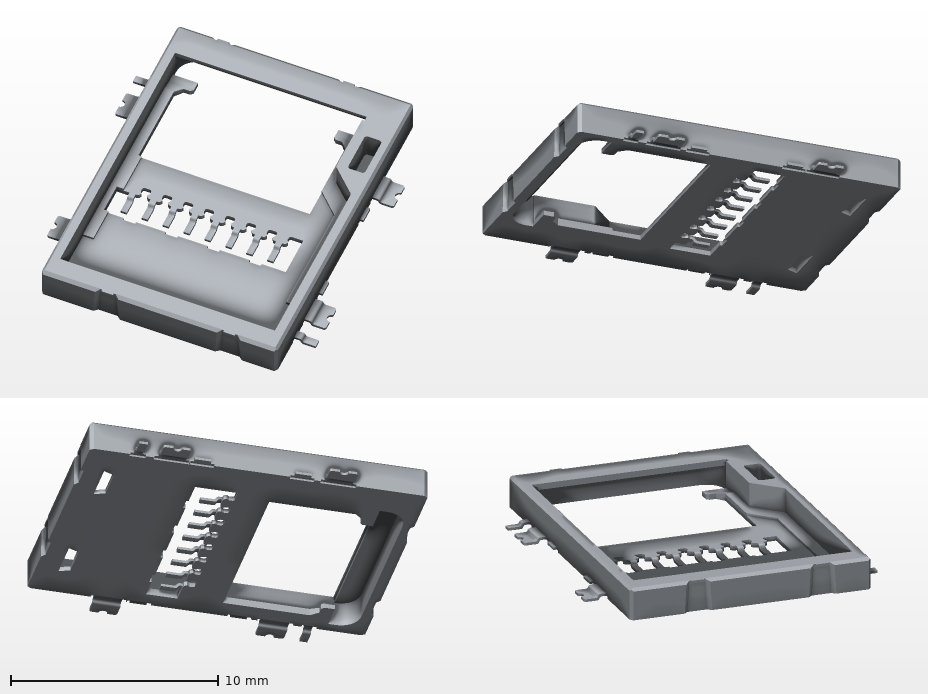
import cadquery as cq
import math


length = 16.8
body_width = 12.4
body_bottom = 0.08
body_top = 1.7
body_height = body_top - body_bottom
half_x = body_width / 2
half_y = length / 2
bevel_x = 0.13
bevel_y = 0.18
bevel_z = 0.13

sheet = 0.13
floor_top = 0.32
sheet_bottom = floor_top - sheet
ledge_top = floor_top + 0.13

cavity_left = -5.65
cavity_right = 5.63
cavity_front = -7.27
cavity_back = 6.45
step_right = 4.28
step_back_y = 3.28
step_front_y = 1.98
step_radius = 0.2

cover_edge = 6.7
cover_lip = 0.07
cover_rib_bottom = body_top - 0.34
undercut_right = 4.42
undercut_back = 7.85
undercut_radius = 1.0

opening_left = -5.14
opening_right = 3.85
opening_front = 1.1

contact_count = 8
first_contact_x = -4.5
last_contact_x = 3.2
contact_pitch = (last_contact_x - first_contact_x) / (contact_count - 1)
contact_width = 0.32
contact_tip_y = -2.2
bend_start_y = -1.26
bend_end_y = -1.58
window_left = -5.33
window_right = 4.22
window_front = -2.69
window_back = -1.13
keyhole_back = -0.57

overall_width = 14.63
terminal_reach = overall_width / 2
foot_inner = 6.74
ramp_top = 6.48
side_tab_reach = 6.38
anchor_x = half_x - 0.42
anchor_notch_depth = 0.17
anchor_notch_margin = 0.18


def box(x0, x1, y0, y1, z0, z1):
    """Axis-aligned block between two corners."""
    return cq.Workplane("XY").box(x1 - x0, y1 - y0, z1 - z0, centered=False).translate((x0, y0, z0))


def prism(points, z0, z1):
    """Upright prism on a closed XY outline."""
    return cq.Workplane("XY").workplane(offset=z0).polyline(points).close().extrude(z1 - z0)


def make_housing():
    """Outer block with bevelled corners and top edges."""
    corners = []
    for sx, sy in ((1, 1), (-1, 1), (-1, -1), (1, -1)):
        pair = [(sx * half_x, sy * (half_y - bevel_y)), (sx * (half_x - bevel_x), sy * half_y)]
        corners += pair if sx * sy > 0 else pair[::-1]
    block = prism(corners, body_bottom, body_top)

    for side in (1, -1):
        long_bevel = (
            cq.Workplane("XZ", origin=(0, half_y, 0))
            .polyline([
                (side * half_x, body_top),
                (side * (half_x - bevel_x), body_top),
                (side * half_x, body_top - bevel_z),
            ])
            .close()
            .extrude(length)
        )
        short_bevel = (
            cq.Workplane("YZ", origin=(-half_x, 0, 0))
            .polyline([
                (side * half_y, body_top),
                (side * (half_y - bevel_y), body_top),
                (side * half_y, body_top - bevel_z),
            ])
            .close()
            .extrude(body_width)
        )
        block = block.cut(long_bevel).cut(short_bevel)
    return block


def cut_cavity(body):
    """Card cavity down to the floor, with the stepped right wall."""
    outline = [
        (cavity_left, cavity_front),
        (cavity_right, cavity_front),
        (cavity_right, step_front_y),
        (step_right, step_back_y),
        (step_right, cavity_back),
        (cavity_left, cavity_back),
    ]
    cavity = prism(outline, floor_top, body_top)
    pick = 0.02
    for x, y in ((cavity_right, step_front_y), (step_right, step_back_y)):
        bend = cq.selectors.BoxSelector((x - pick, y - pick, 0), (x + pick, y + pick, body_top))
        cavity = cavity.edges(bend).fillet(step_radius)
    body = body.cut(cavity)

    below_cover = (
        box(cavity_left, undercut_right, cavity_back, undercut_back, body_bottom, body_top)
        .edges("|Z and >Y")
        .fillet(undercut_radius)
    )
    sheet_strip = box(cavity_left, undercut_right, cover_edge, undercut_back, body_top - sheet, body_top)
    rib_edge = cover_edge + cover_lip
    rib = box(cavity_left, undercut_right, rib_edge, undercut_back, cover_rib_bottom, body_top - sheet)
    return body.cut(below_cover.cut(sheet_strip).cut(rib))


def add_ledges(body):
    """Raised guide strips along both cavity walls."""
    ledge_end_y = -4.5
    left_wide_x = -4.97
    left_narrow_x = -5.09
    right_x = 5.0
    bend_back_y = 2.54
    bend_front_y = 1.4
    body = body.union(box(cavity_left, left_wide_x, window_back, cavity_back, floor_top, ledge_top))
    body = body.union(box(cavity_left, left_narrow_x, ledge_end_y, window_back, floor_top, ledge_top))
    right_strip = [
        (cavity_right, ledge_end_y),
        (cavity_right, step_front_y),
        (step_right, step_back_y),
        (step_right, cavity_back),
        (opening_right, cavity_back),
        (opening_right, bend_back_y),
        (right_x, bend_front_y),
        (right_x, ledge_end_y),
    ]
    return body.union(prism(right_strip, floor_top, ledge_top))


def cut_opening(body):
    """Large floor opening between the ledges."""
    return body.cut(box(opening_left, opening_right, opening_front, cavity_back, body_bottom, body_top))


def add_ledge_tips(body):
    """Widened ledge ends that slope down towards the back wall."""
    tip_length_x = 0.8
    ramp_front_y = 5.4
    ramp_back_y = 6.01
    neck_y = 5.8
    neck_length_x = 0.34
    corner = 0.13
    ramp_drop = 0.13
    for edge_x, side in ((opening_left, 1), (opening_right, -1)):
        outline = [
            (edge_x, ramp_front_y),
            (edge_x + side * neck_length_x, neck_y),
            (edge_x + side * (tip_length_x - corner), neck_y),
            (edge_x + side * tip_length_x, neck_y + corner),
            (edge_x + side * tip_length_x, cavity_back),
            (edge_x, cavity_back),
        ]
        body = body.union(prism(outline, body_bottom, ledge_top))
    slope = (
        cq.Workplane("YZ", origin=(cavity_left, 0, 0))
        .polyline([
            (ramp_front_y, ledge_top),
            (ramp_back_y, ledge_top - ramp_drop),
            (cavity_back, ledge_top - ramp_drop),
            (cavity_back, ledge_top),
        ])
        .close()
        .extrude(step_right - cavity_left)
    )
    return body.cut(slope)


def cut_contact_window(body):
    """Window around the contacts with keyholes between neighbours."""
    body = body.cut(box(window_left, window_right, window_front, window_back, body_bottom, body_top))

    head_half = 0.24
    head_corner = 0.07
    head_front_y = -0.82
    neck_half = 0.143
    neck_y = -0.95
    shoulder_x = 0.08
    shoulder_y = 0.03
    flare_half = (contact_pitch - contact_width) / 2
    for gap in range(contact_count):
        center = first_contact_x + (gap + 0.5) * contact_pitch
        half = [
            (flare_half, window_back),
            (neck_half + shoulder_x, window_back + shoulder_y),
            (neck_half, neck_y),
            (head_half, head_front_y),
            (head_half, keyhole_back - head_corner),
            (head_half - head_corner, keyhole_back),
        ]
        outline = [(center + x, y) for x, y in half] + [(center - x, y) for x, y in reversed(half)]
        body = body.cut(prism(outline, body_bottom, body_top))

    last_gap_x = first_contact_x + (contact_count - 0.5) * contact_pitch
    body = body.cut(box(last_gap_x, window_right, window_back, keyhole_back, body_bottom, body_top))

    relief_width = 0.62
    relief_depth = 0.12
    for gap in range(0, contact_count, 2):
        center = first_contact_x + (gap + 0.5) * contact_pitch
        body = body.cut(box(
            center - relief_width / 2, center + relief_width / 2,
            window_front - relief_depth, window_front, body_bottom, body_top,
        ))
    return body


def bent_strip(plane, inner, bend_high, bend_low, tip, start, width):
    """Sheet strip stepping down from the floor level to Z = 0 in an S-bend."""
    under_shift = math.copysign(sheet / 2, inner - tip)
    under_high = bend_high + under_shift
    under_low = bend_low + under_shift
    return (
        cq.Workplane(plane)
        .workplane(offset=start)
        .moveTo(inner, floor_top)
        .lineTo(bend_high, floor_top)
        .tangentArcPoint(((bend_high + bend_low) / 2, (floor_top + sheet) / 2), relative=False)
        .tangentArcPoint((bend_low, sheet), relative=False)
        .lineTo(tip, sheet)
        .lineTo(tip, 0)
        .lineTo(under_low, 0)
        .tangentArcPoint(((under_low + under_high) / 2, sheet_bottom / 2), relative=False)
        .tangentArcPoint((under_high, sheet_bottom), relative=False)
        .lineTo(inner, sheet_bottom)
        .close()
        .extrude(width)
    )


def add_contacts(body):
    """Row of bent contact fingers reaching into the window."""
    root_y = window_back + 0.17
    for index in range(contact_count):
        left = first_contact_x + index * contact_pitch - contact_width / 2
        body = body.union(
            bent_strip("YZ", root_y, bend_start_y, bend_end_y, contact_tip_y, left, contact_width)
        )
    return body


def cut_front_reliefs(body):
    """Two trapezoid openings in the floor along the front wall."""
    wall_half = 1.02
    floor_half = 0.8
    back_y = -6.74
    relief_x = 3.43
    for center in (-relief_x, relief_x):
        outline = [
            (center - wall_half, cavity_front),
            (center + wall_half, cavity_front),
            (center + floor_half, back_y),
            (center - floor_half, back_y),
        ]
        body = body.cut(prism(outline, body_bottom, body_top))
    return body


def cut_spring_pocket(body):
    """Blind rounded pocket in the thick part of the right wall."""
    pocket_radius = 0.15
    pocket_left, pocket_right = 4.82, 5.71
    pocket_front, pocket_back = 3.41, 5.6
    pocket = box(pocket_left, pocket_right, pocket_front, pocket_back, floor_top, body_top)
    pocket = pocket.edges("|Z").fillet(pocket_radius)
    return body.cut(pocket)


def add_cover_grooves(body):
    """Flared grooves in the end walls, each with a cover tab at its top."""
    groove_depth = 0.17
    mouth_half = 0.6
    root_half = 0.4
    flare = 0.1
    tab_half = 0.3
    tab_inset = 0.07
    for side, centers in ((-1, (-2.72, 3.68)), (1, (-3.8, 2.8))):
        outer_y = side * half_y
        inner_y = side * (half_y - groove_depth)
        for center in centers:
            groove = (
                cq.Workplane("XY")
                .workplane(offset=body_bottom)
                .polyline([
                    (center - mouth_half - flare, outer_y), (center + mouth_half + flare, outer_y),
                    (center + root_half + flare, inner_y), (center - root_half - flare, inner_y),
                ])
                .close()
                .workplane(offset=body_height)
                .polyline([
                    (center - mouth_half, outer_y), (center + mouth_half, outer_y),
                    (center + root_half, inner_y), (center - root_half, inner_y),
                ])
                .close()
                .loft(ruled=True)
            )
            body = body.cut(groove)
            tab_y = sorted((side * (half_y - tab_inset), side * (half_y - 2 * bevel_y)))
            body = body.union(box(
                center - tab_half, center + tab_half, tab_y[0], tab_y[1], body_top - sheet, body_top,
            ))
    return body


def cut_anchor_notch(body, side, y_front, y_back):
    """Shallow notch in the wall foot below a side terminal."""
    x = sorted((side * half_x, side * (half_x - anchor_notch_depth)))
    return body.cut(box(
        x[0], x[1], y_front - anchor_notch_margin, y_back + anchor_notch_margin, body_bottom, sheet_bottom,
    ))


def make_terminal(side, y_front, y_back, is_pad):
    """Gull-wing solder terminal; wide pads have rounded, notched ends."""
    strip = bent_strip(
        "XZ", side * anchor_x, side * ramp_top, side * foot_inner, side * terminal_reach,
        -y_back, y_back - y_front,
    )
    if is_pad:
        pad_corner = 0.12
        notch_radius = 0.22
        end = ">X" if side > 0 else "<X"
        strip = strip.faces(end).edges("|Z").fillet(pad_corner)
        notch = (
            cq.Workplane("XY")
            .center(side * terminal_reach, (y_front + y_back) / 2)
            .circle(notch_radius)
            .extrude(floor_top)
        )
        strip = strip.cut(notch)
    return strip


def add_side_terminals(body):
    """Pads, pins and short tabs along both long sides."""
    pads = ((3.25, 4.65), (-5.02, -3.65))
    tabs = ((1.75, 2.57), (-3.25, -2.42))
    pins = {-1: (5.45, 5.83), 1: (-6.23, -5.81)}
    for side in (-1, 1):
        for y_front, y_back in pads:
            body = cut_anchor_notch(body, side, y_front, y_back)
            body = body.union(make_terminal(side, y_front, y_back, True))
        y_front, y_back = pins[side]
        body = cut_anchor_notch(body, side, y_front, y_back)
        body = body.union(make_terminal(side, y_front, y_back, False))
        for y_front, y_back in tabs:
            body = cut_anchor_notch(body, side, y_front, y_back)
            x = sorted((side * anchor_x, side * side_tab_reach))
            body = body.union(box(x[0], x[1], y_front, y_back, sheet_bottom, floor_top))
    return body


result = make_housing()
result = cut_cavity(result)
result = add_ledges(result)
result = cut_opening(result)
result = add_ledge_tips(result)
result = cut_contact_window(result)
result = add_contacts(result)
result = cut_front_reliefs(result)
result = cut_spring_pocket(result)
result = add_cover_grooves(result)
result = add_side_terminals(result)